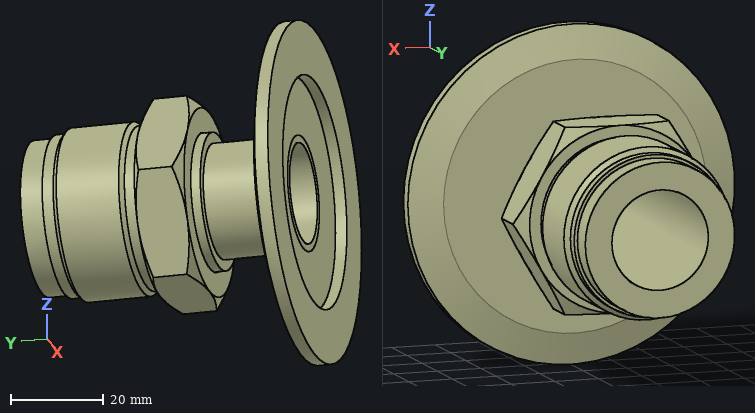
import cadquery as cq
import math


flange_diameter = 75.0
flange_rim_length = 3.0
flange_thickness = 5.25
flange_cone_angle = 17.0
recess_diameter = 51.2
recess_depth = 2.55

bore_diameter = 22.1
tube_diameter = 25.4
collar_diameter = 30.23
head_diameter = 34.29
collar_start = 21.5
head_length = 5.16
overall_length = 61.43
head_start = overall_length - head_length

nut_bore_diameter = 30.48
hex_across_flats = 41.28
hex_chamfer_angle = 30.0
hex_start = 23.6
hex_length = 11.2
hex_end = hex_start + hex_length
undercut_diameter = 36.07
undercut_length = 2.95
thread_diameter = 38.1
nose_diameter = 35.81
thread_start = hex_end + undercut_length
thread_end = 53.8
thread_chamfer = 1.0


def revolve_profile(points):
    """Revolve a closed (radius, Y) outline about the Y axis."""
    return cq.Workplane("XY").polyline(points).close().revolve(360, (0, 0, 0), (0, 1, 0))


def make_flange():
    """Flange with a conical clamping back, a front recess and a hole for the tube."""
    rim_radius = flange_diameter / 2
    recess_radius = recess_diameter / 2
    hole_radius = tube_diameter / 2
    cone_height = flange_thickness - flange_rim_length
    back_radius = rim_radius - cone_height / math.tan(math.radians(flange_cone_angle))
    return revolve_profile([
        (recess_radius, 0),
        (rim_radius, 0),
        (rim_radius, flange_rim_length),
        (back_radius, flange_thickness),
        (hole_radius, flange_thickness),
        (hole_radius, recess_depth),
        (recess_radius, recess_depth),
    ])


def make_gland():
    """Tube ending flush with the recess floor, stepped up to the collar and the head."""
    bore_radius = bore_diameter / 2
    tube_radius = tube_diameter / 2
    collar_radius = collar_diameter / 2
    head_radius = head_diameter / 2
    return revolve_profile([
        (bore_radius, recess_depth),
        (tube_radius, recess_depth),
        (tube_radius, collar_start),
        (collar_radius, collar_start),
        (collar_radius, head_start),
        (head_radius, head_start),
        (head_radius, overall_length),
        (bore_radius, overall_length),
    ])


def make_hexagon():
    """Hexagon with flats facing +Z and -Z, and corners chamfered at both ends."""
    across_corners = hex_across_flats / math.cos(math.radians(30))
    flat_radius = hex_across_flats / 2
    corner_radius = across_corners / 2
    corner_drop = (corner_radius - flat_radius) * math.tan(math.radians(hex_chamfer_angle))
    prism = (
        cq.Workplane("XZ", origin=(0, hex_end, 0))
        .polygon(6, across_corners)
        .extrude(hex_length)
    )
    chamfer_envelope = revolve_profile([
        (0, hex_start),
        (flat_radius, hex_start),
        (corner_radius, hex_start + corner_drop),
        (corner_radius, hex_end - corner_drop),
        (flat_radius, hex_end),
        (0, hex_end),
    ])
    return prism.intersect(chamfer_envelope)


def make_nut():
    """Hex nut with a male thread envelope, loose on the gland and stopped by its head."""
    nut_bore_radius = nut_bore_diameter / 2
    undercut_radius = undercut_diameter / 2
    thread_radius = thread_diameter / 2
    nose_radius = nose_diameter / 2
    shank = revolve_profile([
        (0, hex_start),
        (undercut_radius, hex_start),
        (undercut_radius, thread_start),
        (thread_radius, thread_start + thread_chamfer),
        (thread_radius, thread_end - thread_chamfer),
        (nose_radius, thread_end),
        (nose_radius, head_start),
        (0, head_start),
    ])
    bore = (
        cq.Workplane("XZ", origin=(0, head_start, 0))
        .circle(nut_bore_radius)
        .extrude(head_start - hex_start)
    )
    return make_hexagon().union(shank).cut(bore)


flange = make_flange()
gland = make_gland()
nut = make_nut()

result = cq.Compound.makeCompound([flange.val(), gland.val(), nut.val()])